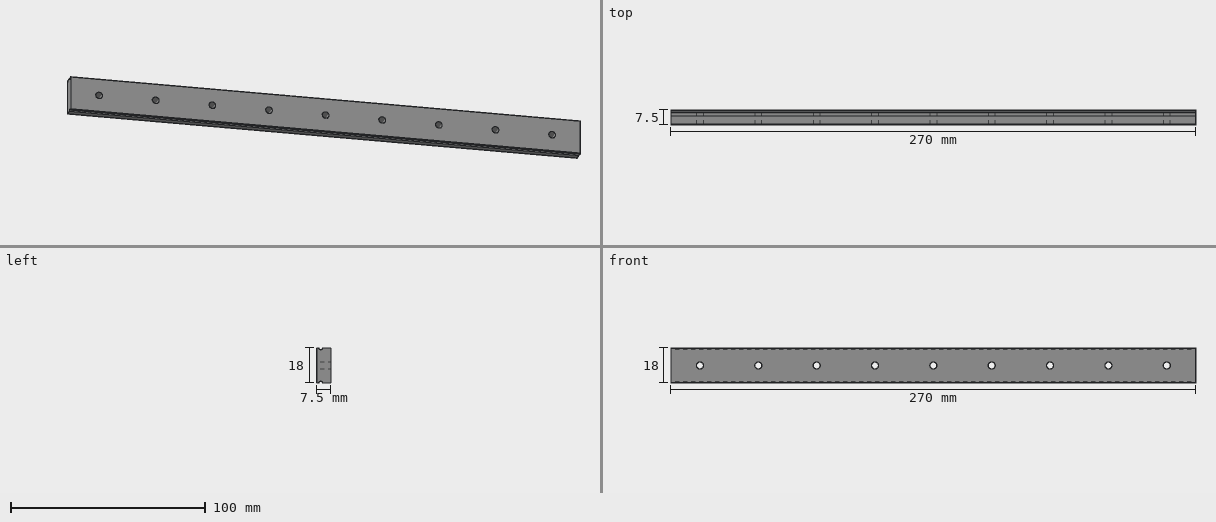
import cadquery as cq

LENGTH = 270.0
THICKNESS = 7.5
WIDTH = 18.0

CORNER_CHAMFER = 0.3

HOLE_DIAMETER = 3.5
HOLE_PITCH = 30.0
HOLE_COUNT = 9

GROOVE_RADIUS = 1.0
GROOVE_AXIS_LIFT = 0.2
GROOVE_CENTRE_FROM_BACK = 2.1


def make_bar():
    bar = cq.Workplane("XY").box(LENGTH, THICKNESS, WIDTH)
    return bar.edges("|X").chamfer(CORNER_CHAMFER)


def make_grooves():
    """Round cutters along both the +Z and the -Z face, running the full length."""
    groove_y = THICKNESS / 2 - GROOVE_CENTRE_FROM_BACK
    axis_z = WIDTH / 2 + GROOVE_AXIS_LIFT
    return (
        cq.Workplane("YZ")
        .pushPoints([(groove_y, axis_z), (groove_y, -axis_z)])
        .circle(GROOVE_RADIUS)
        .extrude(LENGTH / 2, both=True)
    )


def make_holes():
    """Cutters for the hole row along the middle of the broad faces."""
    return (
        cq.Workplane("XZ")
        .rarray(HOLE_PITCH, 1, HOLE_COUNT, 1)
        .circle(HOLE_DIAMETER / 2)
        .extrude(THICKNESS, both=True)
    )


result = make_bar().cut(make_grooves()).cut(make_holes())